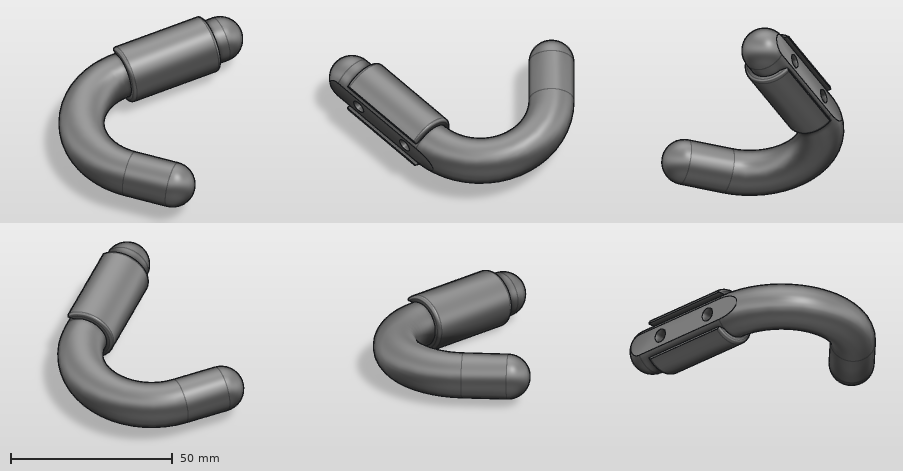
import cadquery as cq
import math

overall_length = 69.9
rod_radius = 7.0
bend_radius = 22.0
bend_angle = 135.0
tip_length = 14.0
flat_offset = 6.0

sleeve_diameter = 17.95
sleeve_length = 30.0
sleeve_fillet = 1.0
slot_width = 12.0

hole_diameter = 4.3
hole_spacing = 20.0

shank_length = overall_length - 2 * rod_radius - bend_radius
hole_middle_y = sleeve_length / 2
sleeve_radius = sleeve_diameter / 2


def bend_point(angle):
    """Centreline point after turning by the given angle in degrees."""
    turn = math.radians(angle)
    return (bend_radius * (1 - math.cos(turn)), -bend_radius * math.sin(turn))


def make_dome(center, direction):
    """Hemisphere capping the rod at center, bulging along direction in the XY plane."""
    plane = cq.Plane(origin=(*center, 0), xDir=(*direction, 0), normal=(0, 0, 1))
    middle = rod_radius * math.sqrt(0.5)
    quarter_disc = (
        cq.Workplane(plane)
        .lineTo(rod_radius, 0)
        .threePointArc((middle, middle), (0, rod_radius))
        .close()
    )
    return quarter_disc.revolve(360, (0, 0), (1, 0))


def make_rod():
    """Round bar bent into a hook, with a hemisphere on each end."""
    bend_end = bend_point(bend_angle)
    turn = math.radians(bend_angle)
    tip_direction = (math.sin(turn), -math.cos(turn))
    tip = tuple(start + tip_length * step for start, step in zip(bend_end, tip_direction))
    shank = cq.Workplane("XZ").circle(rod_radius).extrude(-shank_length)
    bend = cq.Workplane("XZ").circle(rod_radius).revolve(
        bend_angle, (bend_radius, 0), (bend_radius, 1)
    )
    tip_plane = cq.Plane(
        origin=(*bend_end, 0), xDir=(0, 0, 1), normal=(*tip_direction, 0)
    )
    tip_bar = cq.Workplane(tip_plane).circle(rod_radius).extrude(tip_length)
    rod = shank.union(bend).union(tip_bar)
    rod = rod.union(make_dome((0, shank_length), (0, 1)))
    return rod.union(make_dome(tip, tip_direction))


def make_sleeve():
    """Collar around the shank, slotted open toward the mounting face."""
    sleeve = cq.Workplane("XZ").circle(sleeve_radius).extrude(-sleeve_length)
    sleeve = sleeve.faces("<Y or >Y").edges().fillet(sleeve_fillet)
    slot = cq.Workplane().box(
        sleeve_radius, sleeve_length, slot_width, centered=(False, False, True)
    )
    return sleeve.cut(slot.translate((-sleeve_radius, 0, 0)))


def cut_mounting_face(body):
    """Remove everything beyond the flat mounting face."""
    cutter = cq.Workplane().box(
        overall_length, 2 * overall_length, overall_length, centered=(False, True, True)
    )
    return body.cut(cutter.translate((-flat_offset - overall_length, 0, 0)))


def make_holes():
    """Two drills across the rod, from the mounting face to its far side."""
    centers = [(hole_middle_y + side * hole_spacing / 2, 0) for side in (-1, 1)]
    return (
        cq.Workplane("YZ", origin=(-rod_radius, 0, 0))
        .pushPoints(centers)
        .circle(hole_diameter / 2)
        .extrude(2 * rod_radius)
    )


rod = make_rod()
drilled_rod = rod.cut(make_holes())
sleeve = make_sleeve().cut(rod)
result = cut_mounting_face(drilled_rod.union(sleeve))